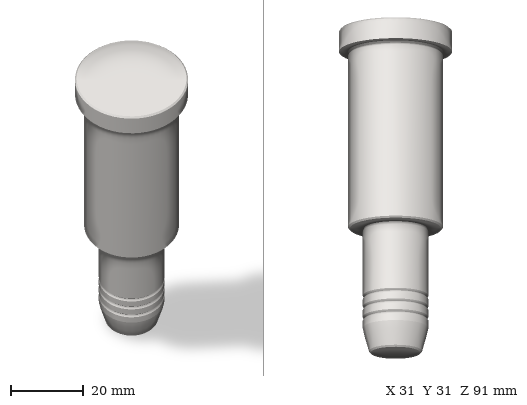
import cadquery as cq

total_length = 91.0
head_radius = 15.52
head_thickness = 6.0
sleeve_radius = 13.0
sleeve_bottom_z = 35.0
pin_radius = 9.0

edge_break = 0.5
groove_width = 1.1
groove_depth = 0.5
neck_height = 0.9
neck_depth = 0.4

ring_count = 3
ring_pitch = 3.0
lowest_ring_z = 9.6

taper_height = 7.0
tip_radius = 7.3
tip_bulge = 0.14

head_bottom_z = total_length - head_thickness


def make_body():
    """Revolve the stepped half section about the Z axis."""
    taper_middle = ((pin_radius + tip_radius) / 2 + tip_bulge, (taper_height + edge_break) / 2)
    return (
        cq.Workplane("XZ")
        .lineTo(tip_radius - edge_break, 0)
        .lineTo(tip_radius, edge_break)
        .threePointArc(taper_middle, (pin_radius, taper_height))
        .lineTo(pin_radius, sleeve_bottom_z - neck_height)
        .lineTo(pin_radius - neck_depth, sleeve_bottom_z)
        .lineTo(sleeve_radius - edge_break, sleeve_bottom_z)
        .lineTo(sleeve_radius, sleeve_bottom_z + edge_break)
        .lineTo(sleeve_radius, head_bottom_z)
        .lineTo(head_radius, head_bottom_z)
        .lineTo(head_radius, total_length - edge_break)
        .lineTo(head_radius - edge_break, total_length)
        .lineTo(0, total_length)
        .close()
        .revolve(360, (0, 0), (0, 1))
    )


def make_groove(radius, center_z):
    """V-shaped ring that cuts a groove into a cylinder of the given radius."""
    half_width = groove_width / 2
    return (
        cq.Workplane("XZ")
        .moveTo(radius, center_z - half_width)
        .lineTo(radius - groove_depth, center_z)
        .lineTo(radius, center_z + half_width)
        .close()
        .revolve(360, (0, 0), (0, 1))
    )


result = make_body()

result = result.cut(make_groove(sleeve_radius, head_bottom_z - groove_width / 2))

for ring in range(ring_count):
    result = result.cut(make_groove(pin_radius, lowest_ring_z + ring * ring_pitch))